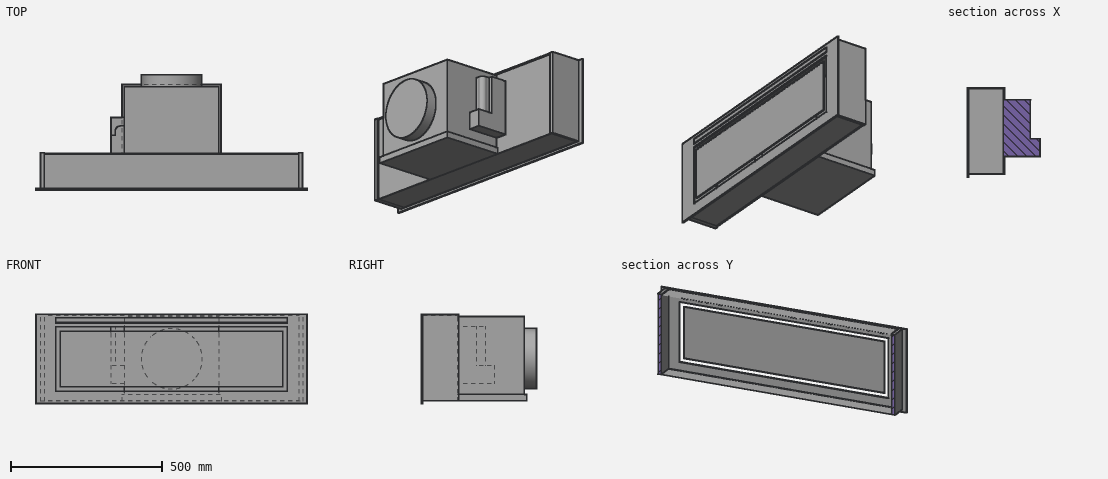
import cadquery as cq

PLATE_WIDTH = 895.0
PLATE_HEIGHT = 295.0
PLATE_THICKNESS = 5.0

SHEET = 3.0
CAP_OUTER_X = 432.0
CAP_THICKNESS = 13.0
CAP_INNER_X = CAP_OUTER_X - CAP_THICKNESS
CAP_BACK = 123.5
SHELL_BACK = CAP_BACK - SHEET
SHELL_INNER_BACK = SHELL_BACK - SHEET
SHELL_BOTTOM = 9.0
SHELL_TOP = 294.5
TOP_STEP = 1.0

WINDOW_HALF_WIDTH = 381.0
WINDOW_BOTTOM = 40.0
WINDOW_TOP = 253.0
WINDOW_GAP = 15.0
PANEL_THICKNESS = 4.0

VENT_BOTTOM = 265.0
VENT_TOP = 284.0
VENT_DEPTH = 2.0
LEDGE_HEIGHT = 3.0
LEDGE_DEPTH = 1.0

CASING_HALF_WIDTH = 156.0
CASING_BACK = 340.0
CASING_TOP = 288.0
TRAY_OVERHANG = 8.0
TRAY_BOTTOM = SHELL_BOTTOM
TRAY_TOP = 30.0
DUCT_DIAMETER = 200.5
DUCT_BACK = 380.0
DUCT_CENTER_Z = 149.0

CONTROL_OUTER_X = -200.0
CONTROL_BOTTOM = 68.0
CONTROL_SHELF = 127.0
CONTROL_TOP = 256.0
CONTROL_BACK = 240.0
UPPER_STEP_X = -185.0
UPPER_STEP_Y = 181.0
UPPER_BACK = 211.0
UPPER_RADIUS = 16.0


def block(x0, x1, y0, y1, z0, z1):
    """Box given by its limits along X, Y and Z."""
    return cq.Workplane("XY").box(x1 - x0, y1 - y0, z1 - z0, centered=False).translate((x0, y0, z0))


def centered_block(half_width, y0, y1, z0, z1):
    """Box symmetric about X = 0."""
    return block(-half_width, half_width, y0, y1, z0, z1)


def make_casing():
    body = centered_block(CASING_HALF_WIDTH, SHELL_INNER_BACK, CASING_BACK, TRAY_TOP, CASING_TOP)
    tray = centered_block(
        CASING_HALF_WIDTH + TRAY_OVERHANG, SHELL_BACK, CASING_BACK + TRAY_OVERHANG, TRAY_BOTTOM, TRAY_TOP
    )
    duct = (
        cq.Workplane("XZ", origin=(0, CASING_BACK, DUCT_CENTER_Z))
        .circle(DUCT_DIAMETER / 2)
        .extrude(CASING_BACK - DUCT_BACK)
    )
    return body.union(tray).union(duct)


def make_control_box():
    lower = block(
        CONTROL_OUTER_X, -CASING_HALF_WIDTH, SHELL_INNER_BACK, CONTROL_BACK, CONTROL_BOTTOM, CONTROL_SHELF
    )
    upper_front = block(
        CONTROL_OUTER_X, -CASING_HALF_WIDTH, SHELL_INNER_BACK, UPPER_STEP_Y, CONTROL_SHELF, CONTROL_TOP
    )
    upper_rear = block(
        UPPER_STEP_X, -CASING_HALF_WIDTH, UPPER_STEP_Y, UPPER_BACK, CONTROL_SHELF, CONTROL_TOP
    )
    upper_rear = upper_rear.edges("|Z and <X and >Y").fillet(UPPER_RADIUS)
    return lower.union(upper_front).union(upper_rear)


def make_housing(casing, control_box):
    housing = centered_block(PLATE_WIDTH / 2, 0, PLATE_THICKNESS, 0, PLATE_HEIGHT)

    for x0 in (-CAP_OUTER_X, CAP_INNER_X):
        cap = block(x0, x0 + CAP_THICKNESS, PLATE_THICKNESS, CAP_BACK, SHELL_BOTTOM, SHELL_TOP)
        housing = housing.union(cap)

    top_face = SHELL_TOP - TOP_STEP
    top = centered_block(CAP_INNER_X, PLATE_THICKNESS, SHELL_BACK, top_face - SHEET, top_face)
    bottom = centered_block(CAP_INNER_X, PLATE_THICKNESS, SHELL_BACK, SHELL_BOTTOM, SHELL_BOTTOM + SHEET)
    back = centered_block(CAP_INNER_X, SHELL_INNER_BACK, SHELL_BACK, SHELL_BOTTOM, SHELL_TOP)
    housing = housing.union(top).union(bottom).union(back)

    housing = housing.cut(centered_block(WINDOW_HALF_WIDTH, 0, PLATE_THICKNESS, WINDOW_BOTTOM, WINDOW_TOP))

    ledge_top = VENT_BOTTOM + LEDGE_HEIGHT
    housing = housing.cut(centered_block(WINDOW_HALF_WIDTH, 0, VENT_DEPTH, ledge_top, VENT_TOP))
    housing = housing.cut(centered_block(WINDOW_HALF_WIDTH, 0, LEDGE_DEPTH, VENT_BOTTOM, ledge_top))

    return housing.cut(casing).cut(control_box)


def make_panel():
    return centered_block(
        WINDOW_HALF_WIDTH - WINDOW_GAP, 0, PANEL_THICKNESS, WINDOW_BOTTOM + WINDOW_GAP, WINDOW_TOP - WINDOW_GAP
    )


casing = make_casing()
control_box = make_control_box()
housing = make_housing(casing, control_box)
panel = make_panel()

result = cq.Compound.makeCompound([housing.val(), panel.val(), casing.val(), control_box.val()])